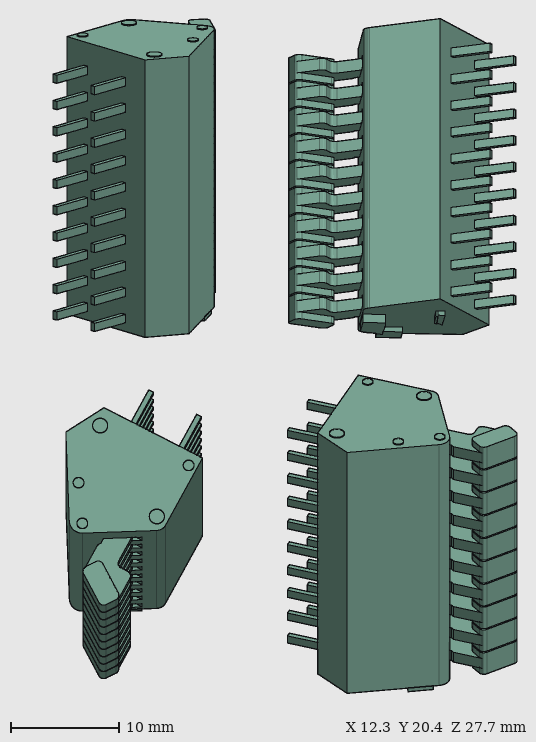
import cadquery as cq
import math


HEIGHT = 26.8
WIDTH = 12.32
BASE_WIDTH = 10.3
TIP_Y = 3.7
SHOULDER_Y = 7.85
SLOPE = math.radians(30)
APEX_FILLET = 1.2
SHOULDER_FILLET = 1.0

WAYS = 10
PITCH = 2.54
FIRST_WAY_Z = PITCH / 2

PIN_XS = (2.5, 7.5)
PIN_WIDTH = 0.5
PIN_THICKNESS = 0.8
PIN_LENGTH = 4.0
PIN_ROOT = 0.5

LEVER_THICKNESS = 1.1
LEVER_LEFT = 0.81
FOOT_Y = 12.3
STEM_LEFT = 2.5
STEM_RIGHT = 4.75
STEM_SHOULDER_Y = 11.35
STEM_SHOULDER_DROP = 0.25
STEM_BOTTOM_Y = 8.8
STEM_FILLET = 0.4
FOOT_FILLET = 0.5

CAP_LENGTH = 4.1
CAP_WIDTH = 2.02
CAP_HEIGHT = 2.4
CAP_FILLET = 0.5
CAP_TILT = -35.0
CAP_TOP_Y = 16.44

STUD_HEIGHT = 0.1
SMALL_STUD_DIAMETER = 1.0
SMALL_STUDS = [(0.8, 1.25), (6.87, 10.75), (9.0, 7.47)]
LARGE_STUD_DIAMETER = 1.4
LARGE_STUDS = [(1.1, 6.95), (9.8, 1.7)]

MAIN_PAD = (0.8, [(1.70, 8.77), (2.78, 6.98), (3.40, 7.25), (6.36, 9.05), (4.49, 10.38)])
APEX_PAD = (0.45, [(6.33, 9.57), (7.52, 7.52), (9.40, 8.60), (8.21, 10.65)])
FRONT_PAD = (0.4, [(3.67, 2.23), (4.12, 1.50), (7.12, 3.26), (5.73, 3.40)])
FRONT_RIDGE = (0.53, [(3.67, 2.23), (3.78, 2.05), (6.16, 3.36), (5.73, 3.40)])


def way_heights():
    return [FIRST_WAY_Z + way * PITCH for way in range(WAYS)]


def slope_y(x):
    """Y of the sloped lever face at a given X."""
    return SHOULDER_Y + x * math.tan(SLOPE)


def make_housing():
    wall_rise = 1 / math.tan(SLOPE)
    apex_x = (TIP_Y + WIDTH * wall_rise - SHOULDER_Y) / (wall_rise + math.tan(SLOPE))
    apex_y = slope_y(apex_x)
    housing = (
        cq.Workplane("XY")
        .polyline([(0, 0), (BASE_WIDTH, 0), (WIDTH, TIP_Y), (apex_x, apex_y), (0, SHOULDER_Y)])
        .close()
        .extrude(HEIGHT)
    )
    mid_z = HEIGHT / 2
    housing = housing.edges(cq.NearestToPointSelector((apex_x, apex_y, mid_z))).fillet(APEX_FILLET)
    return housing.edges(cq.NearestToPointSelector((0, SHOULDER_Y, mid_z))).fillet(SHOULDER_FILLET)


def make_pin():
    """One pin on X = Z = 0, running out of the pin face toward -Y."""
    length = PIN_LENGTH + PIN_ROOT
    return (
        cq.Workplane("XY")
        .box(PIN_WIDTH, length, PIN_THICKNESS)
        .translate((0, PIN_ROOT - length / 2, 0))
    )


def cap_corner(side):
    """Offset from the cap centre to the fillet centre of its upper (+1) or lower (-1) right corner."""
    tilt = math.radians(CAP_TILT)
    along = CAP_LENGTH / 2 - CAP_FILLET
    across = side * (CAP_WIDTH / 2 - CAP_FILLET)
    x = along * math.cos(tilt) - across * math.sin(tilt)
    y = along * math.sin(tilt) + across * math.cos(tilt)
    return x, y


def cap_centre():
    """Centre of the tilted cap, which touches the lever's left edge and top."""
    right_reach = cap_corner(1)[0] + CAP_FILLET
    top_reach = CAP_FILLET - cap_corner(-1)[1]
    return LEVER_LEFT + right_reach, CAP_TOP_Y - top_reach


def make_cap():
    """Rounded, tilted block centred on Z = 0."""
    x, y = cap_centre()
    return (
        cq.Workplane("XY")
        .box(CAP_LENGTH, CAP_WIDTH, CAP_HEIGHT)
        .edges("|Z")
        .fillet(CAP_FILLET)
        .rotate((0, 0, 0), (0, 0, 1), CAP_TILT)
        .translate((x, y, 0))
    )


def make_lever():
    """One lever centred on Z = 0: hooked plate with a wide finger cap."""
    cap_x, cap_y = cap_centre()
    corner_x, corner_y = cap_corner(1)
    lever_right = cap_x + corner_x + CAP_FILLET
    plate = (
        cq.Workplane("XY")
        .workplane(offset=-LEVER_THICKNESS / 2)
        .moveTo(LEVER_LEFT, FOOT_Y + FOOT_FILLET)
        .radiusArc((LEVER_LEFT + FOOT_FILLET, FOOT_Y), -FOOT_FILLET)
        .lineTo(STEM_LEFT - FOOT_FILLET, FOOT_Y)
        .radiusArc((STEM_LEFT, FOOT_Y - FOOT_FILLET), FOOT_FILLET)
        .lineTo(STEM_LEFT, STEM_BOTTOM_Y + STEM_FILLET)
        .radiusArc((STEM_LEFT + STEM_FILLET, STEM_BOTTOM_Y), -STEM_FILLET)
        .lineTo(STEM_RIGHT, STEM_BOTTOM_Y)
        .lineTo(STEM_RIGHT, STEM_SHOULDER_Y - STEM_SHOULDER_DROP)
        .lineTo(lever_right, STEM_SHOULDER_Y)
        .lineTo(lever_right, cap_y + corner_y)
        .lineTo(LEVER_LEFT, cap_y - corner_y)
        .close()
        .extrude(LEVER_THICKNESS)
    )
    return plate.union(make_cap())


def make_lever_slot():
    """Notch in the sloped face that lets the stem down to its rounded foot."""
    length = STEM_LEFT + STEM_FILLET
    height = slope_y(length) - STEM_BOTTOM_Y
    return (
        cq.Workplane("XY")
        .box(length, height, LEVER_THICKNESS)
        .translate((length / 2, STEM_BOTTOM_Y + height / 2, 0))
    )


def make_studs(centres, diameter):
    return (
        cq.Workplane("XY")
        .workplane(offset=HEIGHT)
        .pushPoints(centres)
        .circle(diameter / 2)
        .extrude(STUD_HEIGHT)
    )


def make_pad(depth, outline):
    return cq.Workplane("XY").polyline(outline).close().extrude(-depth)


result = make_housing()

slot = make_lever_slot()
lever = make_lever()
for z in way_heights():
    result = result.cut(slot.translate((0, 0, z)))
    result = result.union(lever.translate((0, 0, z)))

pin = make_pin()
for x in PIN_XS:
    for z in way_heights():
        result = result.union(pin.translate((x, 0, z)))

result = result.union(make_studs(SMALL_STUDS, SMALL_STUD_DIAMETER))
result = result.union(make_studs(LARGE_STUDS, LARGE_STUD_DIAMETER))

for depth, outline in (MAIN_PAD, APEX_PAD, FRONT_PAD, FRONT_RIDGE):
    result = result.union(make_pad(depth, outline))